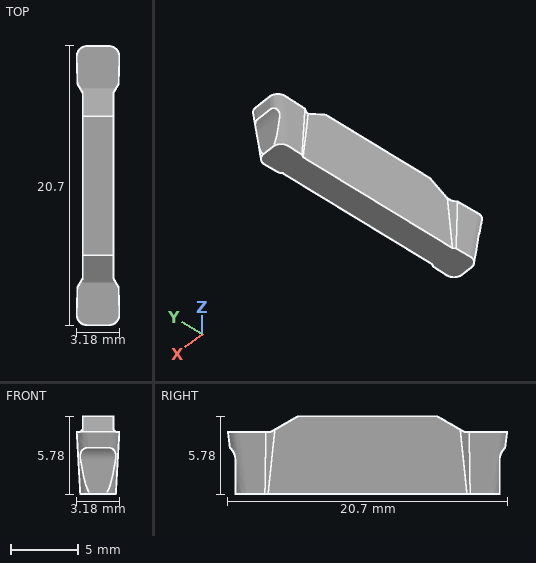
import cadquery as cq
import math


length = 20.7
head_width = 3.18
height = 5.78
nose_y = length / 2

shank_width = 2.3
shank_half_length = 8.0
rim_z = 4.61
crown_half_length = 5.15
ramp_angle = math.radians(30)
ramp_fillet = 0.25

corner_radius = 0.8
side_clearance = math.radians(3.25)
nose_clearance = math.radians(6.9)
back_taper = math.radians(1.5)
neck_y = 7.53
neck_angle = math.radians(31)
root_half_width = 1.0

relief_y = 9.8
relief_arc_z = 2.54
relief_radius = 1.2


def head_section(z):
    """Plan outline of the +Y head at height z, shrinking downward by the clearance angles."""
    depth = rim_z - z
    side_inset = depth * math.tan(side_clearance)
    corner_x = head_width / 2 - side_inset - corner_radius
    corner_y = nose_y - depth * math.tan(nose_clearance) - corner_radius

    def on_corner(angle):
        return (corner_x + corner_radius * math.cos(angle), corner_y + corner_radius * math.sin(angle))

    side_start = on_corner(-back_taper)
    side_end_y = neck_y + side_inset * math.tan(neck_angle / 2)
    side_end_x = side_start[0] - (side_start[1] - side_end_y) * math.tan(back_taper)
    root_y = side_end_y - (side_end_x - root_half_width) / math.tan(neck_angle)
    arc_middle = on_corner(math.pi / 4)

    return (
        cq.Workplane("XY", origin=(0, 0, z))
        .moveTo(-root_half_width, root_y)
        .lineTo(root_half_width, root_y)
        .lineTo(side_end_x, side_end_y)
        .lineTo(*side_start)
        .threePointArc(arc_middle, (corner_x, corner_y + corner_radius))
        .lineTo(-corner_x, corner_y + corner_radius)
        .threePointArc((-arc_middle[0], arc_middle[1]), (-side_start[0], side_start[1]))
        .lineTo(-side_end_x, side_end_y)
        .close()
        .wire()
        .val()
    )


def relief_cutter():
    """Flat relief in front of relief_y, curving out under the nose at the top."""
    arc_top = (relief_y + relief_radius, relief_arc_z + relief_radius)
    half_bend = math.radians(45)
    arc_middle = (
        relief_y + relief_radius * (1 - math.cos(half_bend)),
        relief_arc_z + relief_radius * math.sin(half_bend),
    )
    return (
        cq.Workplane("YZ")
        .moveTo(relief_y, 0)
        .lineTo(relief_y, relief_arc_z)
        .threePointArc(arc_middle, arc_top)
        .lineTo(arc_top[0], 0)
        .close()
        .extrude(head_width, both=True)
    )


def cutting_head():
    """Head at the +Y end, drafted over the full height and relieved at the nose."""
    blank = cq.Solid.makeLoft([head_section(0), head_section(height)], True)
    return cq.Workplane(blank).cut(relief_cutter())


def side_envelope():
    """Length profile: flat cutting faces, ramps and raised crown."""
    ramp_foot_y = crown_half_length + (height - rim_z) / math.tan(ramp_angle)
    profile = (
        cq.Workplane("YZ")
        .moveTo(-nose_y, 0)
        .lineTo(nose_y, 0)
        .lineTo(nose_y, rim_z)
        .lineTo(ramp_foot_y, rim_z)
        .lineTo(crown_half_length, height)
        .lineTo(-crown_half_length, height)
        .lineTo(-ramp_foot_y, rim_z)
        .lineTo(-nose_y, rim_z)
        .close()
        .extrude(head_width, both=True)
    )
    for foot_y in (-ramp_foot_y, ramp_foot_y):
        foot_edge = cq.selectors.NearestToPointSelector((0, foot_y, rim_z))
        profile = profile.edges("|X").edges(foot_edge).fillet(ramp_fillet)
    return profile


shank = cq.Workplane("XY").box(shank_width, 2 * shank_half_length, height, centered=(True, True, False))
head = cutting_head()
result = shank.union(head).union(head.mirror("XZ")).intersect(side_envelope())